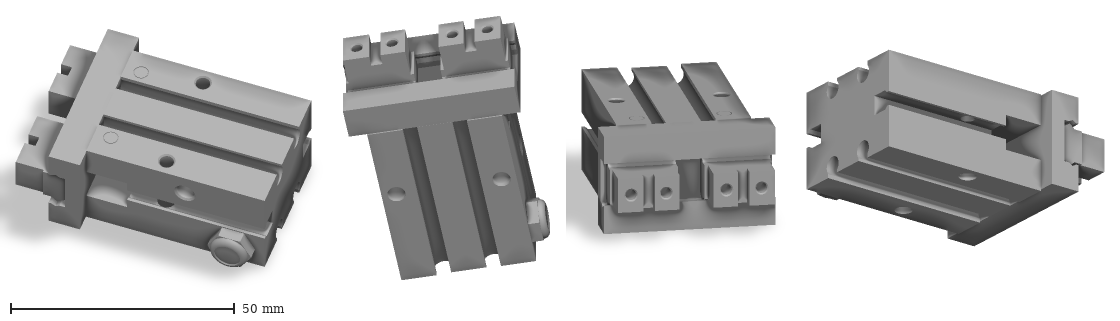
import cadquery as cq
import math


length = 58.3
plate_front = 8.4
plate_back = 15.85
plate_width = 39.0
plate_height = 22.85
body_width = 30.65
body_height = 23.5
overlap = 0.6

guide_floor = 12.35
guide_half_height = 5.0
vee_x = 10.0
groove_crest = 5.6
groove_half_width = 0.95

window_end = 25.6
window_height = 8.45
slit_height = 3.3
slit_break_width = 0.4
slit_lip = 0.7
slit_lip_root = 1.4
slit_undercut = 0.7

slot_mouth = 3.3
slot_offset = 5.65
slot_radius = 2.2
slot_axis_depth = 2.45
land_drop = 0.3

mount_x = 33.75
mount_offset = 11.95
mount_radius = 1.65
mount_chamfer = 0.35
mount_counterbore_radius = 2.05
plug_x = 19.75
plug_offset = 9.95
plug_outer_radius = 1.75
plug_inner_radius = 1.5
plug_groove_depth = 0.2

port_x = 39.3
port_z = 6.5
port_radius = 2.1
port_chamfer = 0.4
port_depth = 5.0
port_passage_radius = 0.35
port_passage_depth = 1.75
fitting_x = 50.8
hex_flats = 9.05
hex_height = 2.55
hex_corner_inset = 0.35
hex_corner_drop = 0.1
cap_radius = 4.45
cap_height = 1.4
cap_round = 1.35
cap_recess_depth = 0.4

jaw_offset = 10.7
rail_length = 15.4
rail_back = 11.9
rail_crest = 5.15
rail_back_half_height = 3.9
rail_vee_start = 8.7
finger_length = 6.65
finger_height = 8.0
finger_width = 14.05
finger_offset = 10.85
notch_width = 2.55
notch_depth = 2.55
jaw_hole_pitch = 8.0
jaw_hole_radius = 1.2
jaw_hole_chamfer = 0.3
jaw_hole_depth = 5.0

body_front_y = -body_width / 2
body_top = body_height / 2
cavity_z = slit_height / 2 + slit_undercut
slit_wall_past_hole = math.sqrt(mount_counterbore_radius ** 2 - (slit_break_width / 2) ** 2)
slit_wall_y = -mount_offset + slit_wall_past_hole
hex_corners = hex_flats / math.cos(math.pi / 6)


def box(x_range, y_range, z_range):
    """Block that spans the three given ranges."""
    sizes = [high - low for low, high in (x_range, y_range, z_range)]
    corner = (x_range[0], y_range[0], z_range[0])
    return cq.Workplane("XY").box(*sizes, centered=False).translate(corner)


def centered(size, middle=0.0):
    """Range of the given size around a middle value."""
    return (middle - size / 2, middle + size / 2)


def chamfered_hole(face, radius, depth, chamfer):
    """Cutter for a hole that starts at the origin of the face and runs against its normal."""
    bore = cq.Workplane(face).circle(radius).extrude(-depth)
    mouth = cq.Workplane(face).circle(radius + chamfer).workplane(offset=-chamfer).circle(radius).loft()
    return bore.union(mouth)


def outward_y_face(x, y, z):
    """Plane whose normal points along -Y."""
    return cq.Plane(origin=(x, y, z), xDir=(1, 0, 0), normal=(0, -1, 0))


def guide_cutter():
    """Guideway with a vee groove in its upper and lower walls, open at both ends."""
    upper = [
        (plate_front - overlap, guide_half_height),
        (vee_x - groove_half_width, guide_half_height),
        (vee_x, groove_crest),
        (vee_x + groove_half_width, guide_half_height),
        (guide_floor, guide_half_height),
    ]
    lower = [(x, -z) for x, z in reversed(upper)]
    profile = cq.Workplane("XZ").polyline(upper + lower).close()
    return profile.extrude(plate_width / 2 + overlap, both=True)


def window_and_slit_cutter():
    """Window behind the front plate, and an undercut slit in each side from there to the rear."""
    window = box((plate_back, window_end), centered(body_width + 2 * overlap), centered(window_height))
    mouth_z = slit_height / 2
    upper = [
        (body_front_y - overlap, mouth_z),
        (body_front_y + slit_lip, mouth_z),
        (body_front_y + slit_lip_root, cavity_z),
        (slit_wall_y, cavity_z),
    ]
    lower = [(y, -z) for y, z in reversed(upper)]
    slit = (
        cq.Workplane("YZ", origin=(window_end - overlap, 0, 0))
        .polyline(upper + lower)
        .close()
        .extrude(length - window_end + 2 * overlap)
    )
    return window.union(slit).union(slit.mirror("XZ"))


def top_slots_cutter():
    """Two round-bottomed sensor slots in the top, with the lowered land between them."""
    slot_x = (plate_back, length + overlap)
    slot_axis_z = body_top - slot_axis_depth
    cutter = box(slot_x, centered(2 * slot_offset), (body_top - land_drop, body_top + overlap))
    for y in (-slot_offset, slot_offset):
        neck = box(slot_x, centered(slot_mouth, y), (slot_axis_z, body_top + overlap))
        channel = (
            cq.Workplane("YZ", origin=(plate_back, y, slot_axis_z))
            .circle(slot_radius)
            .extrude(length + overlap - plate_back)
        )
        cutter = cutter.union(neck).union(channel)
    return cutter


def mount_holes_cutter():
    """Two through holes, chamfered at the top and counterbored from below up to the slit ceiling."""
    top = cq.Plane(origin=(mount_x, 0, body_top))
    bore = chamfered_hole(top, mount_radius, body_height, mount_chamfer)
    counterbore = (
        cq.Workplane("XY", origin=(mount_x, 0, -body_top))
        .circle(mount_counterbore_radius)
        .extrude(body_top + cavity_z)
    )
    hole = bore.union(counterbore)
    return hole.translate((0, -mount_offset, 0)).union(hole.translate((0, mount_offset, 0)))


def plug_grooves_cutter():
    """Shallow ring around each flush plug in the top."""
    return (
        cq.Workplane("XY", origin=(plug_x, 0, body_top))
        .pushPoints([(0, -plug_offset), (0, plug_offset)])
        .circle(plug_outer_radius)
        .circle(plug_inner_radius)
        .extrude(-plug_groove_depth)
    )


def port_cutter():
    """Chamfered air port with a narrow passage at its bottom."""
    face = outward_y_face(port_x, body_front_y, port_z)
    passage = cq.Workplane(face).circle(port_passage_radius).extrude(-port_depth - port_passage_depth)
    return chamfered_hole(face, port_radius, port_depth, port_chamfer).union(passage)


def make_fitting():
    """Hexagon with rounded-off corners, topped by a rounded cap with a shallow recess."""
    face = outward_y_face(fitting_x, body_front_y, -port_z)
    corner_trim = (
        cq.Workplane(face)
        .circle(hex_corners / 2)
        .extrude(hex_height)
        .faces("<Y")
        .chamfer(hex_corner_drop, hex_corner_inset)
    )
    hexagon = cq.Workplane(face).polygon(6, hex_corners).extrude(hex_height).intersect(corner_trim)
    cap = cq.Workplane(face).circle(cap_radius).extrude(hex_height + cap_height)
    cap = cap.faces("<Y").edges().fillet(cap_round)
    recess_face = outward_y_face(fitting_x, body_front_y - hex_height - cap_height, -port_z)
    recess = cq.Workplane(recess_face).circle(cap_radius - cap_round).extrude(-cap_recess_depth)
    return hexagon.union(cap).cut(recess)


def make_housing():
    """Front plate and body in one piece, with the fitting on the side."""
    plate = box((plate_front, plate_back), centered(plate_width), centered(plate_height))
    body = box((plate_back, length), centered(body_width), centered(body_height))
    top_slots = top_slots_cutter()
    return (
        plate.union(body)
        .cut(guide_cutter())
        .cut(window_and_slit_cutter())
        .cut(top_slots)
        .cut(top_slots.mirror("XY"))
        .cut(mount_holes_cutter())
        .cut(plug_grooves_cutter())
        .cut(port_cutter())
        .union(make_fitting())
    )


def make_jaw():
    """Jaw on the +Y side: a vee rail that carries a notched finger with two holes."""
    upper = [
        (finger_length, finger_height / 2),
        (rail_vee_start, finger_height / 2),
        (vee_x, rail_crest),
        (rail_back, rail_back_half_height),
    ]
    lower = [(x, -z) for x, z in reversed(upper)]
    rail = cq.Workplane("XZ").polyline(upper + lower).close().extrude(rail_length / 2, both=True)
    jaw = rail.translate((0, jaw_offset, 0))
    jaw = jaw.union(box((0, finger_length), centered(finger_width, finger_offset), centered(finger_height)))
    jaw = jaw.cut(box((0, notch_depth), centered(notch_width, jaw_offset), centered(finger_height)))
    for side in (-1, 1):
        hole_y = finger_offset + side * jaw_hole_pitch / 2
        tip = cq.Plane(origin=(0, hole_y, 0), xDir=(0, 1, 0), normal=(-1, 0, 0))
        jaw = jaw.cut(chamfered_hole(tip, jaw_hole_radius, jaw_hole_depth, jaw_hole_chamfer))
    return jaw


housing = make_housing()
jaw = make_jaw()
jaws = [jaw, jaw.mirror("XZ")]

result = cq.Compound.makeCompound([housing.val(), *[one_jaw.val() for one_jaw in jaws]])